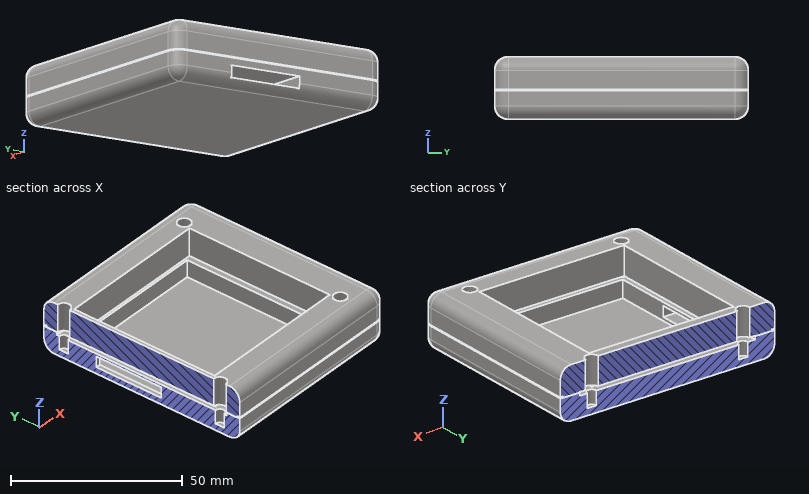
import cadquery as cq

LENGTH = 78.5
WIDTH = 74.0
HEIGHT = 18.3
EDGE_RADIUS = 4.0
BASE_HEIGHT = 8.4

GROOVE_HEIGHT = 0.3
GROOVE_DEPTH = 1.0

WINDOW_SIZE = 52.9

FLOOR_THICKNESS = 1.25
POCKET_LEFT = -26.15
POCKET_RIGHT = 25.6
POCKET_WIDTH = 53.2
RECESS_DEPTH = 1.1
RECESS_MARGIN = 5.5
RECESS_SIZE = WINDOW_SIZE + 2 * RECESS_MARGIN
LEDGE_Z = BASE_HEIGHT - RECESS_DEPTH

SLOT_WIDTH = 24.2
SLOT_CENTER_Y = 4.95
SLOT_BOTTOM = 2.5
SLOT_HEIGHT = 3.6

SCREW_SPACING_X = 55.35
SCREW_SPACING_Y = 58.9
LID_HOLE_DIAMETER = 4.5
BASE_HOLE_DIAMETER = 3.2
BASE_HOLE_BOTTOM = SLOT_BOTTOM


def box_between(x_min, x_max, y_min, y_max, z_min, z_max):
    """Axis-aligned box given by its limits."""
    size = (x_max - x_min, y_max - y_min, z_max - z_min)
    return cq.Workplane("XY").box(*size, centered=False).translate((x_min, y_min, z_min))


def centered_block(length, width, z_min, z_max):
    """Box centered on the Z axis between two heights."""
    return box_between(-length / 2, length / 2, -width / 2, width / 2, z_min, z_max)


def rounded_shell_half(z_min, z_max, outer_face):
    """Block with rounded upright edges and a rounded outer face."""
    block = centered_block(LENGTH, WIDTH, z_min, z_max)
    return block.edges("|Z").fillet(EDGE_RADIUS).faces(outer_face).edges().fillet(EDGE_RADIUS)


def screw_cylinders(diameter, z_min, z_max):
    """Four cylinders on the screw pattern."""
    return (
        cq.Workplane("XY", origin=(0, 0, z_min))
        .rarray(SCREW_SPACING_X, SCREW_SPACING_Y, 2, 2)
        .circle(diameter / 2)
        .extrude(z_max - z_min)
    )


def seam_groove():
    """Ring removed from the lower outer edge of the lid."""
    groove_top = BASE_HEIGHT + GROOVE_HEIGHT
    outer = centered_block(LENGTH, WIDTH, BASE_HEIGHT, groove_top)
    inner = centered_block(
        LENGTH - 2 * GROOVE_DEPTH, WIDTH - 2 * GROOVE_DEPTH, BASE_HEIGHT, groove_top
    )
    return outer.cut(inner.edges("|Z").fillet(EDGE_RADIUS - GROOVE_DEPTH))


def make_base():
    """Tray with a recessed ledge, a pocket, a cable slot and screw holes."""
    body = rounded_shell_half(0, BASE_HEIGHT, "<Z")
    recess = centered_block(RECESS_SIZE, RECESS_SIZE, LEDGE_Z, BASE_HEIGHT)
    pocket = box_between(
        POCKET_LEFT, POCKET_RIGHT,
        -POCKET_WIDTH / 2, POCKET_WIDTH / 2,
        FLOOR_THICKNESS, BASE_HEIGHT,
    )
    slot = box_between(
        -LENGTH / 2, POCKET_LEFT,
        SLOT_CENTER_Y - SLOT_WIDTH / 2, SLOT_CENTER_Y + SLOT_WIDTH / 2,
        SLOT_BOTTOM, SLOT_BOTTOM + SLOT_HEIGHT,
    )
    screw_holes = screw_cylinders(BASE_HOLE_DIAMETER, BASE_HOLE_BOTTOM, BASE_HEIGHT)
    return body.cut(recess).cut(pocket).cut(slot).cut(screw_holes)


def make_lid():
    """Frame around the window, with a shadow groove and a screw hole near each corner."""
    body = rounded_shell_half(BASE_HEIGHT, HEIGHT, ">Z")
    window = centered_block(WINDOW_SIZE, WINDOW_SIZE, BASE_HEIGHT, HEIGHT)
    screw_holes = screw_cylinders(LID_HOLE_DIAMETER, BASE_HEIGHT, HEIGHT)
    return body.cut(seam_groove()).cut(window).cut(screw_holes)


base = make_base()
lid = make_lid()

result = cq.Compound.makeCompound([base.solids().val(), lid.solids().val()])